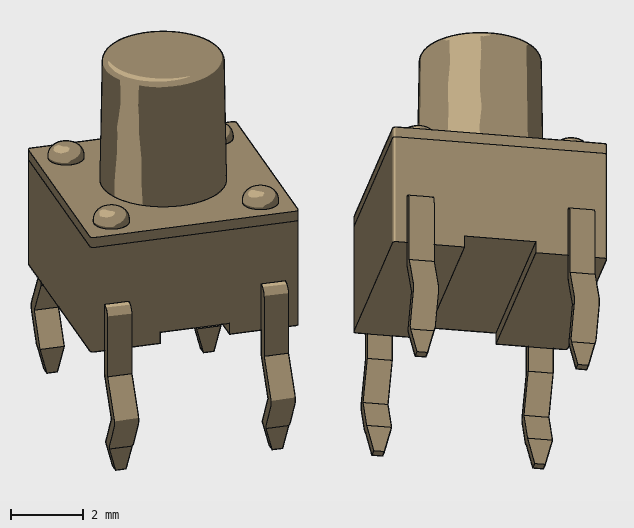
import cadquery as cq
import math

total_height = 10.8
base_bottom = 3.5
cover_top = 7.0
cover_thickness = 0.3

body_width = 6.0
corner_radius = 0.1
channel_width = 2.0
channel_depth = 0.33

rivet_diameter = 1.0
rivet_height = 0.4
rivet_rounding = 0.35
rivet_offset = 2.15

button_bottom_diameter = 3.5
button_top_diameter = 3.37
button_rounding = 0.19

lead_span = 7.9
lead_thickness = 0.3
lead_width = 0.7
lead_offset = 2.26
lead_top = 4.91
upper_bend_height = 2.75
knee_height = 1.71
lower_bend_height = 0.76
tip_inner_x = 3.1
tip_width = 0.3


def rounded_block(bottom, height):
    """Square block of the housing outline with rounded vertical edges."""
    block = cq.Workplane("XY").workplane(offset=bottom).rect(body_width, body_width).extrude(height)
    return block.edges("|Z").fillet(corner_radius)


def make_base():
    """Base block with a channel along X across its underside."""
    base_height = cover_top - cover_thickness - base_bottom
    channel = cq.Workplane("XY").box(
        body_width, channel_width, channel_depth, centered=(True, True, False)
    ).translate((0, 0, base_bottom))
    return rounded_block(base_bottom, base_height).cut(channel)


def make_cover():
    """Cover plate with a rounded rivet head near each corner."""
    plate = rounded_block(cover_top - cover_thickness, cover_thickness)
    rivet_heads = (
        cq.Workplane("XY")
        .workplane(offset=cover_top)
        .rect(2 * rivet_offset, 2 * rivet_offset, forConstruction=True)
        .vertices()
        .circle(rivet_diameter / 2)
        .extrude(rivet_height)
        .faces(">Z")
        .edges()
        .fillet(rivet_rounding)
    )
    return plate.union(rivet_heads)


def make_button():
    """Tapered round button standing on the cover, with a rounded top edge."""
    return (
        cq.Workplane("XY")
        .workplane(offset=cover_top)
        .circle(button_bottom_diameter / 2)
        .workplane(offset=total_height - cover_top)
        .circle(button_top_diameter / 2)
        .loft(ruled=True)
        .faces(">Z")
        .edges()
        .fillet(button_rounding)
    )


def make_lead():
    """Lead on the +X side, centred on Y = 0: a bent strip with a tapered tip."""
    inner_x = body_width / 2
    outer_x = inner_x + lead_thickness
    knee_x = lead_span / 2 - lead_thickness
    tip_outer_x = tip_inner_x + lead_thickness

    upper_angle = math.atan2(knee_x - inner_x, upper_bend_height - knee_height)
    lower_angle = math.atan2(knee_x - tip_inner_x, knee_height - lower_bend_height)
    upper_shift = lead_thickness * math.tan(upper_angle / 2)
    lower_shift = lead_thickness * math.tan(lower_angle / 2)

    knee_arc_start = (
        knee_x + lead_thickness * math.cos(upper_angle),
        knee_height + lead_thickness * math.sin(upper_angle),
    )
    knee_arc_end = (
        knee_x + lead_thickness * math.cos(lower_angle),
        knee_height - lead_thickness * math.sin(lower_angle),
    )

    top_arc_center = lead_top - lead_thickness
    top_arc_reach = lead_thickness * math.sqrt(0.5)

    strip = (
        cq.Workplane("XZ")
        .moveTo(inner_x, lead_top)
        .threePointArc(
            (inner_x + top_arc_reach, top_arc_center + top_arc_reach),
            (outer_x, top_arc_center),
        )
        .lineTo(outer_x, upper_bend_height + upper_shift)
        .lineTo(*knee_arc_start)
        .threePointArc((lead_span / 2, knee_height), knee_arc_end)
        .lineTo(tip_outer_x, lower_bend_height - lower_shift)
        .lineTo(tip_outer_x, 0)
        .lineTo(tip_inner_x, 0)
        .lineTo(tip_inner_x, lower_bend_height)
        .lineTo(knee_x, knee_height)
        .lineTo(inner_x, upper_bend_height)
        .close()
        .extrude(lead_width / 2, both=True)
    )

    tapered_outline = (
        cq.Workplane("YZ")
        .polyline([
            (-tip_width / 2, 0),
            (tip_width / 2, 0),
            (lead_width / 2, lower_bend_height),
            (lead_width / 2, lead_top),
            (-lead_width / 2, lead_top),
            (-lead_width / 2, lower_bend_height),
        ])
        .close()
        .extrude(lead_span / 2)
    )
    return strip.intersect(tapered_outline)


base = make_base()
cover = make_cover()
button = make_button()

right_lead = make_lead()
left_lead = right_lead.mirror("YZ")
leads = []
for side_lead in (left_lead, right_lead):
    for y_position in (-lead_offset, lead_offset):
        leads.append(side_lead.translate((0, y_position, 0)).val())

result = cq.Compound.makeCompound([base.val(), cover.val(), button.val(), *leads])